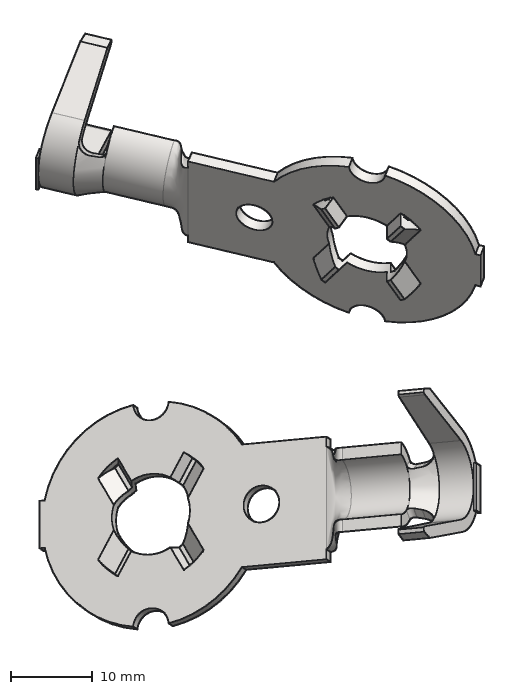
import cadquery as cq
import math

SHEET = 1.5

EYELET_RADIUS = 14.15
EYELET_HOLE_RADIUS = 5.1
NOTCH_RADIUS = 2.3
PLATE_LEFT = -22.85
PLATE_HALF_HEIGHT = 7.7
PLATE_HOLE_X = -14.4
PLATE_HOLE_RADIUS = 2.3
CUT_TAB_HALF_HEIGHT = 3.0
RIGHT_TAB_END = 14.5

LUG_ANGLE = 60
LUG_DEPTH = 1.7
LUG_WIDTH = 3.4
LUG_CREST_START = 0.6
LUG_CREST_END = 1.25
LUG_OUTER_RADIUS = 8.55

BARREL_LEFT = -33.7
BARREL_RIGHT = -26.05
BARREL_RADIUS = 5.35
BARREL_RIM_Y = 4.6
SHOULDER_X = -25.55
TRANSITION_MID_X = -24.25
TRANSITION_MID_RADIUS = 10.7
TRANSITION_MID_HALF_ANGLE = 33
TRANSITION_END_HALF_HEIGHT = 6.5

CLAW_RIGHT = -37.1
CLAW_LEFT_AT_FACE = -41.55
CLAW_LEFT_AT_TIP = -40.45
CLAW_FRONT_Y = -1.2
CLAW_TIP_Y = 14.85
CLAW_RADIUS = 6.75
CLAW_CENTRE_Y = CLAW_FRONT_Y + CLAW_RADIUS
PRONG_ANGLE = 17.5
TIP_OUTER_BEVEL_Y = 12.95
TIP_OUTER_END = (14.65, 9.0)
TIP_POINT_Z = 8.5
TIP_INNER_BEVEL_Y = 14.5
LEFT_TAB_END = -41.9

NECK_HALF_HEIGHT = 3.55
NECK_BLANK_HALF_HEIGHT = 5.65
NECK_MID_EDGE_Y = 0.7
NECK_CUT_TILT = -36
NECK_CLAW_FILLET = 1.7
NECK_BARREL_FILLET = 0.7


def box(x_range, y_range, z_range):
    """Box spanning the given (low, high) ranges."""
    sizes = [high - low for low, high in (x_range, y_range, z_range)]
    corner = (x_range[0], y_range[0], z_range[0])
    return cq.Workplane("XY").box(*sizes, centered=False).translate(corner)


def along_y(x, z, radius, y_low, y_high):
    """Cylinder parallel to Y, centred at (x, z)."""
    plane = cq.Workplane("XZ", origin=(0, y_low, 0))
    return plane.center(x, z).circle(radius).extrude(y_low - y_high)


def circle_y(centre_y, radius, z):
    """Y of the front side of a circle at height z."""
    return centre_y - math.sqrt(radius**2 - z**2)


def trough_section(x, front_y, outer_rim, inner_rim):
    """Curved sheet section, symmetric in Z; each rim is its upper (y, z) end."""
    return (
        cq.Workplane("YZ", origin=(x, 0, 0))
        .moveTo(outer_rim[0], -outer_rim[1])
        .threePointArc((front_y, 0), outer_rim)
        .lineTo(*inner_rim)
        .threePointArc((front_y + SHEET, 0), (inner_rim[0], -inner_rim[1]))
        .close()
        .val()
    )


def barrel_section(x):
    """U section of the barrel, with its rims level in Y."""
    rim_drop = BARREL_RADIUS - BARREL_RIM_Y
    outer_z = math.sqrt(BARREL_RADIUS**2 - rim_drop**2)
    inner_z = math.sqrt((BARREL_RADIUS - SHEET) ** 2 - rim_drop**2)
    return trough_section(x, 0, (BARREL_RIM_Y, outer_z), (BARREL_RIM_Y, inner_z))


def arc_section(x, radius, half_angle):
    """Circular sheet section touching the front face, with rims square to the sheet."""
    sine = math.sin(math.radians(half_angle))
    cosine = math.cos(math.radians(half_angle))
    inner_radius = radius - SHEET
    return trough_section(
        x,
        0,
        (radius - radius * cosine, radius * sine),
        (radius - inner_radius * cosine, inner_radius * sine),
    )


def loft(sections, ruled):
    return cq.Workplane(obj=cq.Solid.makeLoft(sections, ruled))


def make_plate():
    plate = along_y(0, 0, EYELET_RADIUS, 0, SHEET)
    half_height = (-PLATE_HALF_HEIGHT, PLATE_HALF_HEIGHT)
    tab_height = (-CUT_TAB_HALF_HEIGHT, CUT_TAB_HALF_HEIGHT)
    plate = plate.union(box((PLATE_LEFT, 0), (0, SHEET), half_height))
    plate = plate.union(box((0, RIGHT_TAB_END), (0, SHEET), tab_height))
    for side in (-1, 1):
        plate = plate.cut(along_y(0, side * EYELET_RADIUS, NOTCH_RADIUS, 0, SHEET))
    return plate.cut(along_y(PLATE_HOLE_X, 0, PLATE_HOLE_RADIUS, 0, SHEET))


def on_four_lugs(shape):
    """Repeat a shape over the four lugs, mirrored about both X and Z."""
    pair = shape.union(shape.mirror("XY"))
    return pair.union(pair.mirror("YZ"))


def make_ridge(face_y):
    """Ridge pressed LUG_DEPTH forwards from the face at face_y, along one lug direction."""
    return (
        cq.Workplane("YZ")
        .polyline([
            (face_y, 0),
            (face_y - LUG_DEPTH, -LUG_CREST_START),
            (face_y - LUG_DEPTH, -LUG_CREST_END),
            (face_y, -LUG_WIDTH),
        ])
        .close()
        .extrude(LUG_OUTER_RADIUS)
        .rotate((0, 0, 0), (0, 1, 0), -LUG_ANGLE)
        .intersect(along_y(0, 0, LUG_OUTER_RADIUS, -LUG_DEPTH, SHEET))
    )


def make_eyelet_plate():
    """Plate with the lugs raised in front, hollowed behind, and the eyelet hole cut through."""
    plate = make_plate().union(on_four_lugs(make_ridge(0)))
    plate = plate.cut(on_four_lugs(make_ridge(SHEET)))
    return plate.cut(along_y(0, 0, EYELET_HOLE_RADIUS, -LUG_DEPTH, SHEET))


def make_barrel():
    barrel = loft([barrel_section(BARREL_LEFT), barrel_section(BARREL_RIGHT)], True)
    middle = arc_section(TRANSITION_MID_X, TRANSITION_MID_RADIUS, TRANSITION_MID_HALF_ANGLE)
    flat_end = (
        cq.Workplane("YZ", origin=(PLATE_LEFT, 0, 0))
        .moveTo(0, -TRANSITION_END_HALF_HEIGHT)
        .lineTo(0, TRANSITION_END_HALF_HEIGHT)
        .lineTo(SHEET, TRANSITION_END_HALF_HEIGHT)
        .lineTo(SHEET, -TRANSITION_END_HALF_HEIGHT)
        .close()
        .val()
    )
    sections = [barrel_section(BARREL_RIGHT), barrel_section(SHOULDER_X), middle, flat_end]
    return barrel.union(loft(sections, False))


def make_claw():
    """Bent strip: a circular back with two straight, bevel-tipped prongs."""
    slope = math.tan(math.radians(PRONG_ANGLE))
    sine = math.sin(math.radians(PRONG_ANGLE))
    cosine = math.cos(math.radians(PRONG_ANGLE))
    inner_radius = CLAW_RADIUS - SHEET
    outer_bend = (CLAW_CENTRE_Y - CLAW_RADIUS * sine, CLAW_RADIUS * cosine)
    inner_bend = (CLAW_CENTRE_Y - inner_radius * sine, inner_radius * cosine)
    tip = [
        (TIP_OUTER_BEVEL_Y, outer_bend[1] + slope * (TIP_OUTER_BEVEL_Y - outer_bend[0])),
        TIP_OUTER_END,
        (CLAW_TIP_Y, TIP_POINT_Z),
        (TIP_INNER_BEVEL_Y, inner_bend[1] + slope * (TIP_INNER_BEVEL_Y - inner_bend[0])),
    ]
    profile = cq.Workplane("YZ", origin=(LEFT_TAB_END, 0, 0)).moveTo(outer_bend[0], -outer_bend[1])
    profile = profile.threePointArc((CLAW_FRONT_Y, 0), outer_bend)
    for y, z in tip:
        profile = profile.lineTo(y, z)
    profile = profile.lineTo(*inner_bend)
    profile = profile.threePointArc((CLAW_FRONT_Y + SHEET, 0), (inner_bend[0], -inner_bend[1]))
    for y, z in reversed(tip):
        profile = profile.lineTo(y, -z)
    strip = profile.close().extrude(CLAW_RIGHT - LEFT_TAB_END)

    lean = (CLAW_LEFT_AT_TIP - CLAW_LEFT_AT_FACE) / CLAW_TIP_Y
    side_outline = (
        cq.Workplane("XY", origin=(0, 0, -EYELET_RADIUS))
        .polyline([
            (CLAW_LEFT_AT_FACE + lean * CLAW_FRONT_Y, CLAW_FRONT_Y),
            (CLAW_RIGHT, CLAW_FRONT_Y),
            (CLAW_RIGHT, CLAW_TIP_Y),
            (CLAW_LEFT_AT_TIP, CLAW_TIP_Y),
        ])
        .close()
        .extrude(2 * EYELET_RADIUS)
    )
    tab = box(
        (LEFT_TAB_END, CLAW_LEFT_AT_FACE),
        (CLAW_FRONT_Y, CLAW_FRONT_Y + SHEET),
        (-CUT_TAB_HALF_HEIGHT, CUT_TAB_HALF_HEIGHT),
    )
    return strip.intersect(side_outline).union(tab)


def make_neck():
    """Trough blending the claw's back into the barrel, narrowed by a rounded notch each side."""
    inner_radius = CLAW_RADIUS - SHEET
    inner_z = NECK_BLANK_HALF_HEIGHT * inner_radius / CLAW_RADIUS
    claw_end = trough_section(
        CLAW_RIGHT,
        CLAW_FRONT_Y,
        (circle_y(CLAW_CENTRE_Y, CLAW_RADIUS, NECK_BLANK_HALF_HEIGHT), NECK_BLANK_HALF_HEIGHT),
        (circle_y(CLAW_CENTRE_Y, inner_radius, inner_z), inner_z),
    )
    neck = loft([claw_end, barrel_section(BARREL_LEFT)], True)
    notch = box(
        (CLAW_RIGHT, BARREL_LEFT),
        (-2 * BARREL_RADIUS, 2 * BARREL_RADIUS),
        (NECK_HALF_HEIGHT, EYELET_RADIUS),
    )
    notch = notch.edges("|Y and <Z and <X").fillet(NECK_CLAW_FILLET)
    notch = notch.edges("|Y and <Z and >X").fillet(NECK_BARREL_FILLET)
    pivot = (0, NECK_MID_EDGE_Y, NECK_HALF_HEIGHT)
    notch = notch.rotate(pivot, (1, pivot[1], pivot[2]), NECK_CUT_TILT)
    return neck.cut(notch).cut(notch.mirror("XY"))


result = make_eyelet_plate().union(make_barrel()).union(make_neck()).union(make_claw())